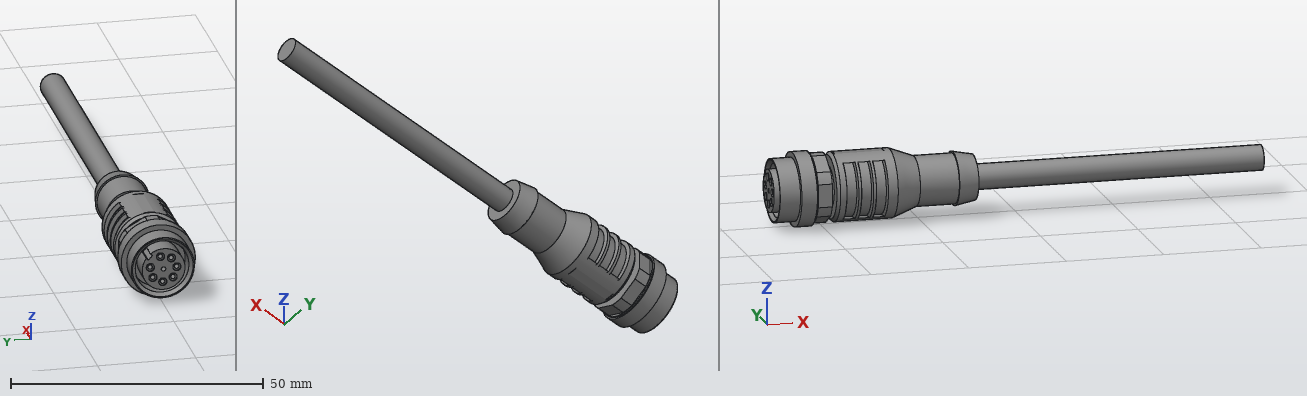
import cadquery as cq
import math

TOTAL_LENGTH = 101.0

SLEEVE_START = 0.7
FLANGE_START = 4.8
WASHER_START = 8.1
NUT_START = 8.4
NUT_END = 11.3
BODY_START = 12.3
BODY_END = 24.7
STEM_START = 29.8
COLLAR_START = 37.8
CABLE_START = 41.9

SLEEVE_DIA = 12.8
SLEEVE_MOUTH_DIA = 12.3
SLEEVE_BORE_DIA = 10.9
FLANGE_DIA = 15.0
WASHER_DIA = 14.3
NUT_CORNER_DIA = 14.0
NECK_DIA = 8.7
INSERT_DIA = 8.7
BODY_DIA = 14.0
STEM_DIA = 10.2
COLLAR_DIA = 10.9
COLLAR_TIP_DIA = 9.3
CABLE_DIA = 5.2

NUT_ACROSS_FLATS = 13.2
BODY_CHAMFER = 0.6

CONTACT_HOLE_DIA = 0.9
CONTACT_HOLE_DEPTH = 4.0
CONTACT_RECESS_DIA = 1.6
CONTACT_RECESS_DEPTH = 0.3
CONTACT_CIRCLE_DIA = 5.5
CONTACT_COUNT = 7
CONTACT_PITCH = 49.0
KEY_ANGLE = 44.0
KEY_WIDTH = 1.2
KEY_DEPTH = 0.6

GRIP_FIRST = 14.2
GRIP_PITCH = 3.0
GRIP_COUNT = 3
GRIP_WIDTH = 2.4
GRIP_WALL_TAPER = 0.2
GRIP_HEIGHT = 11.5
GRIP_FLOOR_DIA = 12.3

FLAT_START = 13.2
FLAT_END = 23.3
FLAT_WIDTH = 2.1


def cylinder(start, end, diameter):
    return cq.Workplane("YZ", origin=(start, 0, 0)).circle(diameter / 2).extrude(end - start)


def revolve_profile(points):
    return cq.Workplane("XY").polyline(points).close().revolve(360, (0, 0, 0), (1, 0, 0))


def make_coupling():
    """Open sleeve with a chamfered mouth, followed by the round flange and a thin washer step."""
    mouth_depth = (SLEEVE_MOUTH_DIA - SLEEVE_BORE_DIA) / 2
    sleeve = revolve_profile([
        (SLEEVE_START, SLEEVE_MOUTH_DIA / 2),
        (SLEEVE_START, SLEEVE_DIA / 2),
        (FLANGE_START, SLEEVE_DIA / 2),
        (FLANGE_START, SLEEVE_BORE_DIA / 2),
        (SLEEVE_START + mouth_depth, SLEEVE_BORE_DIA / 2),
    ])
    flange = cylinder(FLANGE_START, WASHER_START, FLANGE_DIA)
    washer = cylinder(WASHER_START, NUT_START, WASHER_DIA)
    return sleeve.union(flange).union(washer)


def make_nut():
    """Hexagon with flats facing +Y and -Y and rounded corners."""
    corner_span = NUT_ACROSS_FLATS / math.cos(math.radians(30))
    hexagon = (
        cq.Workplane("YZ", origin=(NUT_START, 0, 0))
        .transformed(rotate=(0, 0, 90))
        .polygon(6, corner_span)
        .extrude(NUT_END - NUT_START)
    )
    return hexagon.intersect(cylinder(NUT_START, NUT_END, NUT_CORNER_DIA))


def make_rear():
    """Neck, grip body, stem, collar and cable as one turned profile."""
    profile = [
        (NUT_END, 0),
        (NUT_END, NECK_DIA / 2),
        (BODY_START, NECK_DIA / 2),
        (BODY_START, BODY_DIA / 2 - BODY_CHAMFER),
        (BODY_START + BODY_CHAMFER, BODY_DIA / 2),
        (BODY_END, BODY_DIA / 2),
        (STEM_START, STEM_DIA / 2),
        (COLLAR_START, STEM_DIA / 2),
        (COLLAR_START, COLLAR_DIA / 2),
        (CABLE_START, COLLAR_TIP_DIA / 2),
        (CABLE_START, CABLE_DIA / 2),
        (TOTAL_LENGTH, CABLE_DIA / 2),
        (TOTAL_LENGTH, 0),
    ]
    return revolve_profile(profile)


def make_grip_grooves():
    """Round-floored grooves with tapered walls on both Y sides, ending at flat walls across Z."""
    floor_radius = GRIP_FLOOR_DIA / 2
    top_radius = BODY_DIA / 2
    grooves = cq.Workplane("XY")
    for index in range(GRIP_COUNT):
        start = GRIP_FIRST + index * GRIP_PITCH
        end = start + GRIP_WIDTH
        grooves = grooves.union(revolve_profile([
            (start, top_radius),
            (start + GRIP_WALL_TAPER, floor_radius),
            (end - GRIP_WALL_TAPER, floor_radius),
            (end, top_radius),
        ]))
    window = cq.Workplane("XY").box(TOTAL_LENGTH, FLANGE_DIA, GRIP_HEIGHT, centered=(False, True, True))
    return grooves.intersect(window)


def make_marking_flats():
    """Shallow cuts that leave a narrow flat strip on the top and bottom of the body."""
    floor = math.sqrt(BODY_DIA ** 2 - FLAT_WIDTH ** 2) / 2
    length = FLAT_END - FLAT_START
    upper = (
        cq.Workplane("XY", origin=(FLAT_START, 0, floor))
        .box(length, FLAT_WIDTH, BODY_DIA / 2, centered=(False, True, False))
    )
    return upper.union(upper.mirror("XY"))


def make_insert():
    """Contact carrier with its keyway and contact holes."""
    insert = cylinder(0, FLANGE_START, INSERT_DIA)
    keyway = (
        cq.Workplane("XY")
        .box(FLANGE_START, 2 * KEY_DEPTH, KEY_WIDTH, centered=(False, True, True))
        .translate((0, INSERT_DIA / 2, 0))
        .rotate((0, 0, 0), (1, 0, 0), KEY_ANGLE)
    )
    first_angle = KEY_ANGLE + (360 - (CONTACT_COUNT - 1) * CONTACT_PITCH) / 2
    radius = CONTACT_CIRCLE_DIA / 2
    ring = []
    for index in range(CONTACT_COUNT):
        angle = math.radians(first_angle + index * CONTACT_PITCH)
        ring.append((radius * math.cos(angle), radius * math.sin(angle)))
    face = cq.Workplane("YZ")
    recesses = face.pushPoints(ring).circle(CONTACT_RECESS_DIA / 2).extrude(CONTACT_RECESS_DEPTH)
    holes = face.pushPoints(ring + [(0, 0)]).circle(CONTACT_HOLE_DIA / 2).extrude(CONTACT_HOLE_DEPTH)
    return insert.cut(keyway).cut(recesses).cut(holes)


result = (
    make_coupling()
    .union(make_nut())
    .union(make_rear())
    .cut(make_grip_grooves())
    .cut(make_marking_flats())
    .union(make_insert())
)